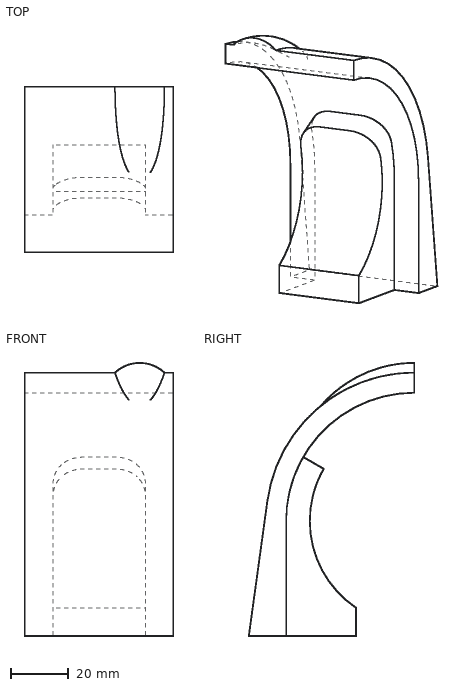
import cadquery as cq
import math

width = 51.7
arch_center_z = 40.0
inner_radius = 44.5
outer_radius = 51.6
foot_depth = 57.5

bump_center_x = 40.0
bump_top_z = 94.95
bump_sweep_radius = 42.7
bump_section_radius = 12.5
bump_cap_height = 6.6
bump_sweep_angle = 52.0

rib_inset = 9.8
rib_radius = 36.3
rib_foot_y = -20.2
rib_end_angle = 30.0
rib_corner_radius = 10.1
rib_embed = 2.85


def arch_point(radius, degrees):
    """Point (Y, Z) on an arch circle, at an angle above horizontal on the -Y side."""
    angle = math.radians(degrees)
    return -radius * math.cos(angle), arch_center_z + radius * math.sin(angle)


def make_shell():
    foot_distance = math.hypot(foot_depth, arch_center_z)
    foot_angle = math.degrees(math.atan2(-arch_center_z, foot_depth))
    tangent_angle = foot_angle + math.degrees(math.acos(outer_radius / foot_distance))
    middle_angle = (tangent_angle + 90) / 2
    return (
        cq.Workplane("YZ")
        .moveTo(-foot_depth, 0)
        .lineTo(*arch_point(outer_radius, tangent_angle))
        .threePointArc(arch_point(outer_radius, middle_angle), arch_point(outer_radius, 90))
        .lineTo(*arch_point(inner_radius, 90))
        .threePointArc(arch_point(inner_radius, 45), arch_point(inner_radius, 0))
        .lineTo(-inner_radius, 0)
        .close()
        .extrude(width)
    )


def make_bump():
    half_chord = math.sqrt(bump_section_radius**2 - (bump_section_radius - bump_cap_height) ** 2)
    chord_z = bump_top_z - bump_cap_height
    sweep_center_z = bump_top_z - bump_sweep_radius
    return (
        cq.Workplane("XZ")
        .moveTo(bump_center_x - half_chord, chord_z)
        .threePointArc((bump_center_x, bump_top_z), (bump_center_x + half_chord, chord_z))
        .close()
        .revolve(bump_sweep_angle, (0, sweep_center_z), (1, sweep_center_z))
    )


def make_rib():
    embedded_radius = inner_radius + rib_embed
    foot_top_z = arch_center_z - math.sqrt(rib_radius**2 - rib_foot_y**2)
    end_direction = cq.Vector(0, *arch_point(0.95, rib_end_angle)) - cq.Vector(0, 0, arch_center_z)
    return (
        cq.Workplane("YZ", origin=(rib_inset, 0, 0))
        .moveTo(rib_foot_y, 0)
        .lineTo(rib_foot_y, foot_top_z)
        .threePointArc(arch_point(rib_radius, 0), arch_point(rib_radius, rib_end_angle))
        .lineTo(*arch_point(embedded_radius, rib_end_angle))
        .threePointArc(
            arch_point(embedded_radius, rib_end_angle / 2),
            arch_point(embedded_radius, 0),
        )
        .lineTo(-embedded_radius, 0)
        .close()
        .extrude(width - 2 * rib_inset)
        .edges(cq.selectors.ParallelDirSelector(end_direction))
        .fillet(rib_corner_radius)
    )


result = make_shell().union(make_bump()).union(make_rib())